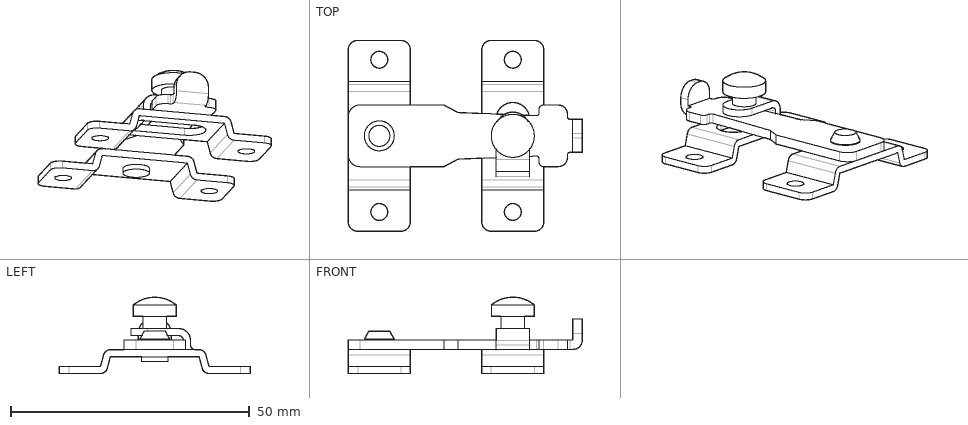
import cadquery as cq
import math


sheet = 1.5
bracket_width = 13.05
bracket_length = 40.0
bracket_spacing = 27.95
web_height = 5.05
web_half_flat = 9.25
wall_lean = math.radians(15)
foot_corner_radius = 2.0
screw_hole_diameter = 3.5
screw_hole_offset = 15.92
web_underside = web_height - sheet

tongue_width = 7.0
tongue_top = 9.45
tongue_tip_y = 5.0
tongue_wall_y = -7.5
tongue_fold_radius = 2.5
tongue_root_radius = 1.0
slot_end_y = 6.95
tongue_underside = tongue_top - sheet

arm_length = 49.0
arm_thickness = 2.0
arm_start_x = -bracket_width / 2
arm_end_x = arm_start_x + arm_length
arm_half_width = 6.45
arm_corner_radius = 2.5
shoulder_x = 13.5
waist_x = 16.45
waist_start_half_width = 4.9
waist_end_half_width = 4.2
head_start_x = 33.4
head_end_x = 39.4
notch_radius = 0.5
head_inner_radius = 1.0
head_outer_radius = 1.95
arm_top = web_height + arm_thickness

tab_width = 6.95
tab_top = 11.45
tab_corner_radius = 3.05
tab_bend_radius = 1.95
tab_root_radius = 0.5

rivet_radius = 2.8
rivet_head_radius = 3.15
rivet_tip_radius = 2.2
rivet_rim_height = 0.15
rivet_top = 8.9
rivet_bottom = 2.5

knob_x = bracket_spacing
knob_radius = 4.5
knob_neck_radius = 2.5
knob_cap_bottom = 11.95
knob_rim_top = 14.4
knob_top = 16.0


def make_bracket(center_x):
    """Bent strip with two screw holes; the bends are sharp inside and round outside."""
    across = sheet * math.cos(wall_lean)
    along = sheet * math.sin(wall_lean)
    foot_inner_y = web_half_flat + across + (web_underside + along - sheet) * math.tan(wall_lean)
    half_length = bracket_length / 2
    half = (
        cq.Workplane("YZ", origin=(center_x, 0, 0))
        .moveTo(0, web_underside)
        .lineTo(0, web_height)
        .lineTo(web_half_flat, web_height)
        .tangentArcPoint((web_half_flat + across, web_underside + along), relative=False)
        .lineTo(foot_inner_y, sheet)
        .lineTo(half_length, sheet)
        .lineTo(half_length, 0)
        .lineTo(foot_inner_y, 0)
        .tangentArcPoint((foot_inner_y - across, sheet - along), relative=False)
        .lineTo(web_half_flat, web_underside)
        .close()
        .extrude(bracket_width / 2, both=True)
        .edges("|Z and >Y")
        .fillet(foot_corner_radius)
    )
    screw_hole = (
        cq.Workplane("XY")
        .center(center_x, screw_hole_offset)
        .circle(screw_hole_diameter / 2)
        .extrude(sheet)
    )
    half = half.cut(screw_hole)
    return half.union(half.mirror("XZ"))


def round_ended_strip(start_y, end_y, bottom, top):
    """Strip of tongue width along Y, with a semicircular end at end_y."""
    radius = tongue_width / 2
    return (
        cq.Workplane("XY", origin=(knob_x, 0, bottom))
        .moveTo(-radius, start_y)
        .lineTo(radius, start_y)
        .lineTo(radius, end_y - radius)
        .threePointArc((0, end_y), (-radius, end_y - radius))
        .close()
        .extrude(top - bottom)
    )


def make_tongue(root_y):
    """S-shaped fold that rises out of the web and reaches over the arm."""
    inner_wall_y = tongue_wall_y + sheet
    root_top = web_height + tongue_root_radius
    fold_y = tongue_wall_y + tongue_fold_radius
    fold_z = tongue_top - tongue_fold_radius
    fold = (
        cq.Workplane("YZ", origin=(knob_x, 0, 0))
        .moveTo(tongue_tip_y, tongue_top)
        .lineTo(fold_y, tongue_top)
        .tangentArcPoint((tongue_wall_y, fold_z), relative=False)
        .lineTo(tongue_wall_y, root_top)
        .tangentArcPoint((root_y, web_height), relative=False)
        .lineTo(root_y, web_underside)
        .radiusArc((inner_wall_y, root_top), -(tongue_root_radius + sheet))
        .lineTo(inner_wall_y, fold_z)
        .tangentArcPoint((fold_y, tongue_underside), relative=False)
        .lineTo(tongue_tip_y, tongue_underside)
        .close()
        .extrude(tongue_width / 2, both=True)
    )
    return fold.intersect(round_ended_strip(root_y, tongue_tip_y, web_underside, tongue_top))


def make_pivot_bracket():
    return make_bracket(0).cut(rivet_shank())


def make_keeper():
    """Bracket with the tongue, the slot the tongue leaves in the web, and the knob hole."""
    root_y = tongue_wall_y - tongue_root_radius
    slot = round_ended_strip(root_y, slot_end_y, web_underside, web_height)
    return make_bracket(bracket_spacing).cut(slot).union(make_tongue(root_y)).cut(knob_neck())


def round_upright_corners(plate, corners):
    """Round the Z edges at each (x, y, radius) and at its mirror point (x, -y)."""
    middle_z = web_height + arm_thickness / 2
    for x, y, radius in corners:
        for side in (1, -1):
            corner = cq.selectors.NearestToPointSelector((x, side * y, middle_z))
            plate = plate.edges("|Z").edges(corner).fillet(radius)
    return plate


def make_arm():
    """Waisted flat arm with a wider head, ending in the upturned finger tab."""
    tab_half_width = tab_width / 2
    half_outline = [
        (arm_start_x, arm_half_width),
        (shoulder_x, arm_half_width),
        (waist_x, waist_start_half_width),
        (head_start_x, waist_end_half_width),
        (head_start_x, arm_half_width),
        (head_end_x, arm_half_width),
        (head_end_x, tab_half_width),
        (arm_end_x, tab_half_width),
    ]
    mirrored_outline = [(x, -y) for x, y in reversed(half_outline)]
    plate = (
        cq.Workplane("XY", origin=(0, 0, web_height))
        .polyline(half_outline + mirrored_outline)
        .close()
        .extrude(arm_thickness)
    )
    plate = round_upright_corners(plate, [
        (arm_start_x, arm_half_width, arm_corner_radius),
        (head_start_x, waist_end_half_width, notch_radius),
        (head_start_x, arm_half_width, head_inner_radius),
        (head_end_x, arm_half_width, head_outer_radius),
        (head_end_x, tab_half_width, tab_root_radius),
    ])
    tab = (
        cq.Workplane("XY", origin=(arm_end_x, 0, web_height))
        .box(arm_thickness, tab_width, tab_top - web_height, centered=(False, True, False))
        .translate((-arm_thickness, 0, 0))
        .edges("|X and >Z")
        .fillet(tab_corner_radius)
    )
    bent = plate.union(tab).edges("|Y and >X and <Z").fillet(tab_bend_radius)
    return bent.cut(rivet_shank())


def rivet_shank():
    return (
        cq.Workplane("XY", origin=(0, 0, rivet_bottom))
        .circle(rivet_radius)
        .extrude(arm_top - rivet_bottom)
    )


def make_rivet():
    """Plain shank under a conical head with a thin rim."""
    head = (
        cq.Workplane("XZ")
        .moveTo(0, arm_top)
        .lineTo(rivet_head_radius, arm_top)
        .lineTo(rivet_head_radius, arm_top + rivet_rim_height)
        .lineTo(rivet_tip_radius, rivet_top)
        .lineTo(0, rivet_top)
        .close()
        .revolve(360, (0, 0, 0), (0, 1, 0))
    )
    return rivet_shank().union(head)


def knob_neck():
    return (
        cq.Workplane("XY", origin=(knob_x, 0, tongue_underside))
        .circle(knob_neck_radius)
        .extrude(knob_cap_bottom - tongue_underside)
    )


def make_knob():
    """Round neck set through the tongue, under a cap with a spherical top."""
    dome_rise = knob_top - knob_rim_top
    dome_radius = (knob_radius**2 + dome_rise**2) / (2 * dome_rise)
    half_angle = math.asin(knob_radius / dome_radius) / 2
    dome_center_z = knob_top - dome_radius
    dome_midpoint = (
        dome_radius * math.sin(half_angle),
        dome_center_z + dome_radius * math.cos(half_angle),
    )
    cap = (
        cq.Workplane("XZ", origin=(knob_x, 0, 0))
        .moveTo(0, knob_cap_bottom)
        .lineTo(knob_radius, knob_cap_bottom)
        .lineTo(knob_radius, knob_rim_top)
        .threePointArc(dome_midpoint, (0, knob_top))
        .close()
        .revolve(360, (0, 0, 0), (0, 1, 0))
    )
    return knob_neck().union(cap)


pivot_bracket = make_pivot_bracket()
keeper = make_keeper()
arm = make_arm()
rivet = make_rivet()
knob = make_knob()

result = cq.Compound.makeCompound([
    pivot_bracket.val(),
    keeper.val(),
    arm.val(),
    rivet.val(),
    knob.val(),
])